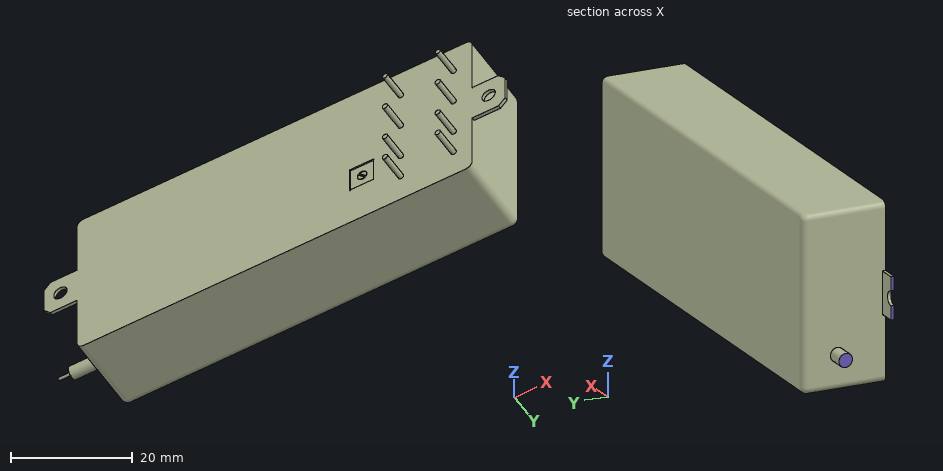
import cadquery as cq

CASE_LENGTH = 76.2
CASE_DEPTH = 15.24
CASE_HEIGHT = 31.75
CASE_EDGE_RADIUS = 1.27

TAB_REACH = 6.35
TAB_HEIGHT = 7.62
TAB_THICKNESS = 0.635
TAB_CORNER = 1.27
TAB_HOLE_DIAMETER = 2.54
TAB_HOLE_OFFSET = TAB_REACH / 2

CABLE_DIAMETER = 2.54
CABLE_LENGTH = 6.35
WIRE_DIAMETER = 0.635
WIRE_LENGTH = 2.54
LEAD_INSET = 6.35
LEAD_Y = CASE_DEPTH - LEAD_INSET
LEAD_Z = LEAD_INSET - CASE_HEIGHT / 2

PIN_DIAMETER = 1.016
PIN_LENGTH = 5.08
PIN_END_MARGIN = 3.556
PIN_COLUMN_SPACING = 10.16
PIN_OUTER_X = CASE_LENGTH / 2 - PIN_END_MARGIN
PIN_INNER_X = PIN_OUTER_X - PIN_COLUMN_SPACING
PIN_TOP_ROW_Z = 10.033
PIN_ROW_DROPS = (0, 7.62, 15.24, 20.32)
PIN_ROWS_Z = [PIN_TOP_ROW_Z - drop for drop in PIN_ROW_DROPS]

TRIMMER_WIDTH = 4.572
TRIMMER_HEIGHT = 5.08
TRIMMER_RECESS = 0.254
TRIMMER_PIN_SPACING = 7.62
TRIMMER_X = PIN_INNER_X - TRIMMER_PIN_SPACING
TRIMMER_Z = PIN_ROWS_Z[2]
SCREW_DIAMETER = 1.778
SCREW_HEIGHT = 0.127
SLOT_WIDTH = 0.254
SLOT_ANGLE = 45


def block(x_size, y_start, y_end, z_size):
    """Box centred on X and Z, spanning y_start to y_end."""
    box = cq.Workplane("XY").box(x_size, y_end - y_start, z_size)
    return box.translate((0, (y_start + y_end) / 2, 0))


def rod_along_y(diameter, y_start, y_end, x, z):
    start = cq.Vector(x, y_start, z)
    rod = cq.Solid.makeCylinder(diameter / 2, y_end - y_start, start, cq.Vector(0, 1, 0))
    return cq.Workplane(rod)


def rod_along_x(diameter, x_start, x_end, y, z):
    start = cq.Vector(x_start, y, z)
    rod = cq.Solid.makeCylinder(diameter / 2, x_end - x_start, start, cq.Vector(1, 0, 0))
    return cq.Workplane(rod)


def make_case():
    """Case rounded along its four Y edges and around its back face."""
    case = block(CASE_LENGTH, 0, CASE_DEPTH, CASE_HEIGHT)
    return case.edges("|Y or >Y").fillet(CASE_EDGE_RADIUS)


def make_tabs():
    """One strip through the case forms both drilled tabs."""
    strip = block(CASE_LENGTH + 2 * TAB_REACH, 0, TAB_THICKNESS, TAB_HEIGHT)
    strip = strip.edges("|Y").chamfer(TAB_CORNER)
    for side in (-1, 1):
        hole_x = side * (CASE_LENGTH / 2 + TAB_HOLE_OFFSET)
        strip = strip.cut(rod_along_y(TAB_HOLE_DIAMETER, 0, TAB_THICKNESS, hole_x, 0))
    return strip


def make_lead():
    case_end = -CASE_LENGTH / 2
    cable_end = case_end - CABLE_LENGTH
    cable = rod_along_x(CABLE_DIAMETER, cable_end, case_end, LEAD_Y, LEAD_Z)
    wire = rod_along_x(WIRE_DIAMETER, cable_end - WIRE_LENGTH, cable_end, LEAD_Y, LEAD_Z)
    return cable.union(wire)


def add_pins(body):
    for x in (PIN_INNER_X, PIN_OUTER_X):
        for z in PIN_ROWS_Z:
            body = body.union(rod_along_y(PIN_DIAMETER, -PIN_LENGTH, 0, x, z))
    return body


def make_screw():
    """Raised screw head with a slot cut to the floor of the window."""
    head = rod_along_y(SCREW_DIAMETER, TRIMMER_RECESS - SCREW_HEIGHT, TRIMMER_RECESS, 0, 0)
    slot = block(SCREW_DIAMETER, 0, TRIMMER_RECESS, SLOT_WIDTH)
    return head.cut(slot.rotate((0, 0, 0), (0, 1, 0), SLOT_ANGLE))


def cut_trimmer(body):
    """Cut the window, leaving the screw head standing on its floor."""
    window = block(TRIMMER_WIDTH, 0, TRIMMER_RECESS, TRIMMER_HEIGHT).cut(make_screw())
    return body.cut(window.translate((TRIMMER_X, 0, TRIMMER_Z)))


body = make_case().union(make_tabs()).union(make_lead())
body = add_pins(body)
result = cut_trimmer(body)